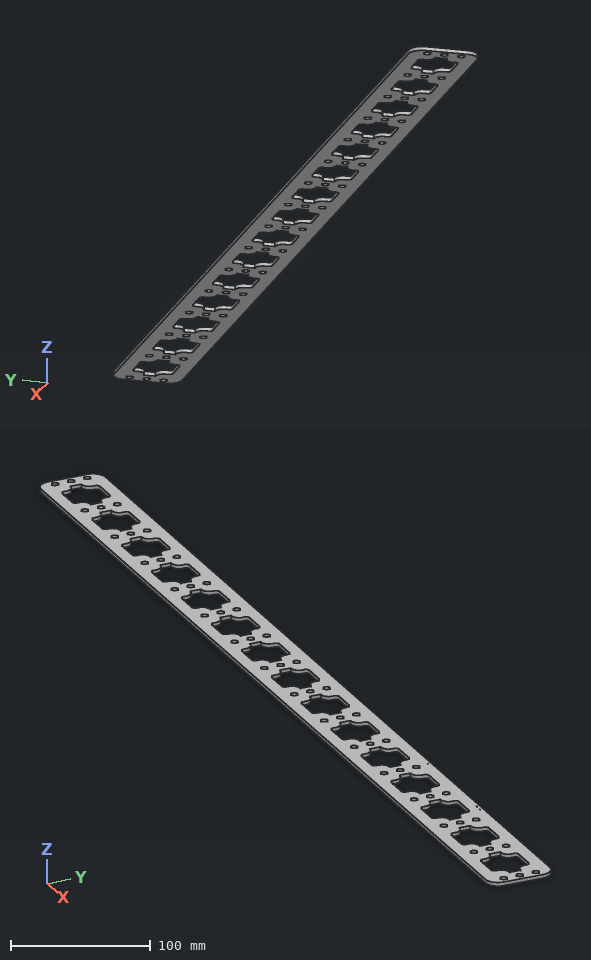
import cadquery as cq

length = 774.0
width = 51.0
thickness = 3.0
corner_radius = 10.0

column_count = 16
end_margin = 6.1
column_pitch = (length - 2 * end_margin) / (column_count - 1)
row_pitch = column_pitch / 4
hole_diameter = 5.0

window_width = 22.0
window_height = 29.5
window_corner_radius = 2.0
notch_span = 35.0
notch_height = 8.5
shoulder_radius = 6.0


def column_x(index):
    """X of a hole column; half indices fall midway between columns."""
    return (index - (column_count - 1) / 2) * column_pitch


def make_plate():
    plate = cq.Workplane("XY").box(length, width, thickness)
    return plate.edges("|Z").fillet(corner_radius)


def make_holes():
    centers = [
        (column_x(column), row * row_pitch)
        for column in range(column_count)
        for row in (-1, 0, 1)
    ]
    holes = cq.Workplane("XY").pushPoints(centers).circle(hole_diameter / 2)
    return holes.extrude(thickness, both=True)


def make_windows():
    """Upright rectangles widened by a low notch on each side, with rounded shoulders between."""
    centers = [(column_x(gap + 0.5), 0) for gap in range(column_count - 1)]

    reach_x = (window_width + notch_span) / 4
    reach_y = (window_height + notch_height) / 4
    inside_corners = cq.selectors.BoxSelector(
        (-reach_x, -reach_y, -thickness),
        (reach_x, reach_y, thickness),
    )
    cross = (
        cq.Sketch()
        .rect(window_width, window_height)
        .rect(notch_span, notch_height)
        .clean()
        .vertices(inside_corners)
        .fillet(shoulder_radius)
        .reset()
        .vertices("<Y or >Y")
        .fillet(window_corner_radius)
        .reset()
    )
    windows = cq.Workplane("XY").pushPoints(centers).placeSketch(cross)
    return windows.extrude(thickness, both=True)


result = make_plate().cut(make_windows()).cut(make_holes())